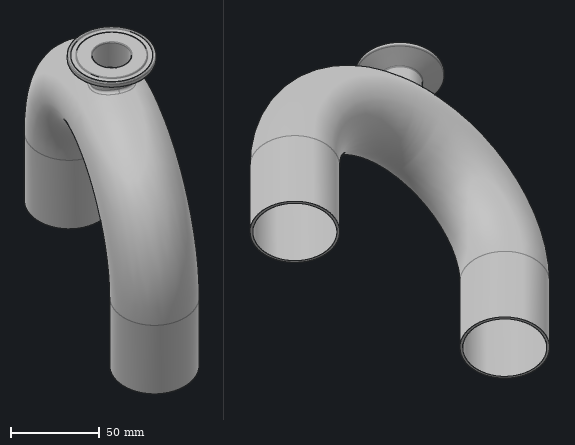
import cadquery as cq
import math

pipe_od = 50.8
wall = 1.65
bend_radius = 76.2
leg_length = 50.8

neck_od = 25.4
weld_fillet = 2.0
ferrule_top = 117.62
flange_od = 50.39
rim_height = 2.85
edge_round = 0.5
cone_angle = 20.0
stub_length = 1.5

groove_mean_diameter = 43.5
groove_width = 3.0
groove_depth = 1.3

pipe_id = pipe_od - 2 * wall
neck_id = neck_od - 2 * wall
neck_radius = neck_od / 2
flange_radius = flange_od / 2
rim_bottom = ferrule_top - rim_height
cone_bottom = rim_bottom - (flange_radius - neck_radius) * math.tan(math.radians(cone_angle))
neck_top = cone_bottom - stub_length


def u_bend(diameter):
    """Solid U-shaped bar: two straight legs joined by a half-torus."""
    half_torus = (
        cq.Workplane("XY")
        .center(bend_radius, 0)
        .circle(diameter / 2)
        .revolve(180, (-bend_radius, 0, 0), (-bend_radius, -1, 0))
    )
    legs = (
        cq.Workplane("XY")
        .pushPoints([(-bend_radius, 0), (bend_radius, 0)])
        .circle(diameter / 2)
        .extrude(-leg_length)
    )
    return half_torus.union(legs)


def branch_cylinder(radius, top):
    """Cylinder on the branch axis, from the pipe centreline up to the given height."""
    return cq.Workplane("XY", origin=(0, 0, bend_radius)).circle(radius).extrude(top - bend_radius)


def add_neck(body):
    """Join the branch neck to the crown of the bend and blend it with a weld fillet."""
    joined = body.union(branch_cylinder(neck_radius, neck_top))
    junction = cq.selectors.BoxSelector(
        (-neck_od, -neck_od, bend_radius),
        (neck_od, neck_od, neck_top - edge_round),
    )
    return joined.edges(junction).fillet(weld_fillet)


def ferrule():
    """Clamp ferrule: short neck stub, conical back and a rim, with the bore cut through."""
    blank = (
        cq.Workplane("XZ")
        .moveTo(neck_id / 2, neck_top)
        .lineTo(neck_radius, neck_top)
        .lineTo(neck_radius, cone_bottom)
        .lineTo(flange_radius, rim_bottom)
        .lineTo(flange_radius, ferrule_top)
        .lineTo(neck_id / 2, ferrule_top)
        .close()
        .revolve(360, (0, 0, 0), (0, 1, 0))
    )
    rounded_back = blank.faces("%CONE").edges("%CIRCLE").fillet(edge_round)
    grooved = rounded_back.cut(gasket_groove())
    return grooved.faces(">Z").edges("%CIRCLE").fillet(edge_round)


def gasket_groove():
    """Ring of circular-segment section, sunk into the ferrule face."""
    groove_radius = groove_mean_diameter / 2
    return (
        cq.Workplane("XZ")
        .moveTo(groove_radius - groove_width / 2, ferrule_top)
        .threePointArc(
            (groove_radius, ferrule_top - groove_depth),
            (groove_radius + groove_width / 2, ferrule_top),
        )
        .close()
        .revolve(360, (0, 0, 0), (0, 1, 0))
    )


outside = add_neck(u_bend(pipe_od))
hollow = outside.cut(u_bend(pipe_id)).cut(branch_cylinder(neck_id / 2, neck_top))
result = hollow.union(ferrule())